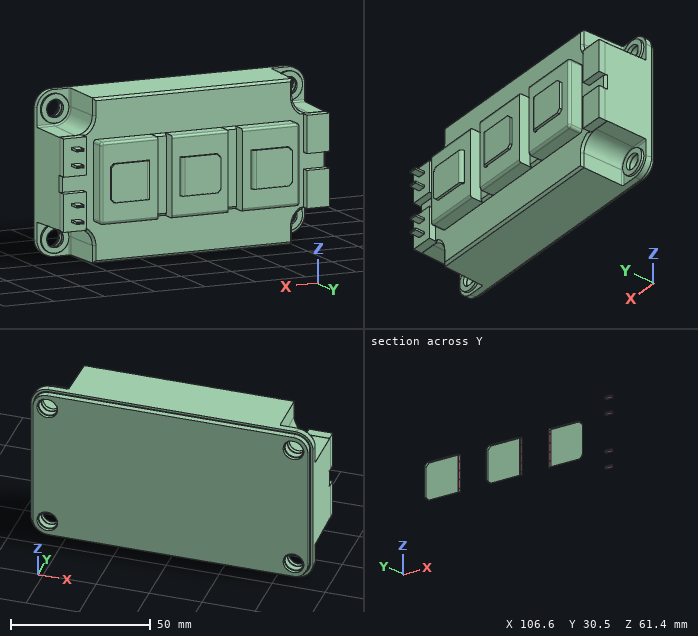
import cadquery as cq
import math

length = 106.6
width = 61.4
height = 30.5

flange_bottom = 1.9
flange_top = 4.5
boss_top = 5.4
housing_top = 23.1
end_block_top = 26.0
terminal_top = 29.0

corner_radius = 6.8
plate_inset = 1.4
groove_width = 0.3
groove_depth = 0.3
hole_x = length / 2 - corner_radius
hole_z = width / 2 - corner_radius
hole_steps = [(7.7, 1.3), (7.0, 3.8), (6.6, boss_top)]
boss_radius = 5.4

draft_angle = 1.0
notch_radius = 6.5
notch_fillet = 0.6
housing_chamfer = 1.0
draft_inset = (housing_top - flange_bottom) * math.tan(math.radians(draft_angle))

end_block_length = 9.1
end_block_width = 34.3
end_block_gap = 6.2
end_block_outer_x = length / 2 - draft_inset

ridge_length = 79.3
ridge_width = 30.3
ridge_fillet = 1.0
ridge_corner_radius = 1.2
plinth_height = 1.0
plinth_slope = 45.0
slot_x = 14.0
slot_width = 5.6

tab_length = 15.7
tab_width = 14.3
tab_thickness = 1.1
tab_chamfer = 1.3
bend_radius = 1.4
tab_free_ends = [(-35.9, 1), (-7.6, 1), (35.9, -1)]

pin_x = 48.2
pin_width = 3.0
pin_thickness = 0.9
pin_tip_chamfer = 0.3
pin_z = [7.2, 13.3]


def level(y):
    """Workplane at height y that extrudes toward +Y; its local y runs along -Z."""
    return cq.Workplane(cq.Plane(origin=(0, y, 0), xDir=(1, 0, 0), normal=(0, 1, 0)))


def block(x_size, z_size, bottom, top, x=0.0, z=0.0):
    return level(bottom).center(x, -z).rect(x_size, z_size).extrude(top - bottom)


def at_holes(y):
    return level(y).rect(2 * hole_x, 2 * hole_z, forConstruction=True).vertices()


def drafted_block():
    """Full block of flange and housing, narrowing upward with the draft."""
    return (
        level(flange_bottom)
        .rect(length, width)
        .extrude(housing_top - flange_bottom, taper=draft_angle)
    )


def rounded_block(inset, bottom, top):
    """Block with rounded corners whose sides lie inside the flange outline by the inset."""
    outline = block(length - 2 * inset, width - 2 * inset, bottom, top)
    return outline.edges("|Y").fillet(corner_radius - inset)


def base():
    plate = rounded_block(plate_inset, 0, flange_bottom + groove_depth)
    flange = rounded_block(0, flange_bottom, flange_top).intersect(drafted_block())
    groove = rounded_block(plate_inset - groove_width, flange_bottom, flange_bottom + groove_depth)
    bosses = at_holes(flange_top).circle(boss_radius).extrude(boss_top - flange_top)
    return flange.cut(groove).union(plate).union(bosses)


def corner_notch():
    """Cutter for one corner: rounded around the mounting hole and widening upward with the draft."""
    inner_x = hole_x - notch_radius
    inner_z = hole_z - notch_radius
    outer_x = hole_x + 2 * corner_radius
    outer_z = hole_z + 2 * corner_radius
    cutter = (
        level(flange_top)
        .moveTo(outer_x, inner_z)
        .lineTo(outer_x, outer_z)
        .lineTo(inner_x, outer_z)
        .lineTo(inner_x, hole_z)
        .radiusArc((hole_x, inner_z), -notch_radius)
        .close()
        .extrude(height, taper=-draft_angle)
    )
    return cutter.faces("<Y").edges().fillet(notch_fillet)


def housing():
    body = drafted_block().intersect(block(length, width, flange_top, housing_top))
    notch = corner_notch()
    for cutter in (notch, notch.mirror("YZ")):
        body = body.cut(cutter).cut(cutter.mirror("XY"))
    return body.faces(">Y").edges().chamfer(housing_chamfer)


def end_block(side):
    """Two halves that fill the housing chamfer below them and stand on its end face."""
    x = side * (end_block_outer_x - end_block_length / 2)
    half_width = (end_block_width - end_block_gap) / 2
    half_z = (end_block_gap + half_width) / 2
    upper = block(end_block_length, half_width, housing_top, end_block_top, x, half_z)
    chamfer_zone = block(
        2 * end_block_length, half_width, housing_top - housing_chamfer, housing_top,
        side * (length / 2 - end_block_length), half_z,
    )
    half = upper.union(chamfer_zone.intersect(drafted_block()))
    return half.union(half.mirror("XY"))


def terminal_blocks():
    """Three blocks parted by slots, joined by a low plinth with sloping sides."""
    ridge = block(ridge_length, ridge_width, housing_top, terminal_top)
    ridge = ridge.edges("|Y").fillet(ridge_corner_radius)
    ridge = ridge.faces(">Y").edges().fillet(ridge_fillet)
    for x in (-slot_x, slot_x):
        ridge = ridge.cut(block(slot_width, width, housing_top, height, x))
    plinth = (
        level(housing_top)
        .rect(4 * slot_x - slot_width, ridge_width)
        .extrude(plinth_height, taper=plinth_slope)
    )
    return ridge.union(plinth)


def tab(free_end_x, direction):
    """Strip above its terminal block, bent down into the block at the end away from free_end_x."""
    bent_end_x = free_end_x + direction * tab_length
    strip = block(
        tab_length, tab_width, height - tab_thickness, height, (free_end_x + bent_end_x) / 2
    )
    free_end = "<X" if direction > 0 else ">X"
    bent_end = ">X" if direction > 0 else "<X"
    strip = strip.edges("|Y").edges(free_end).chamfer(tab_chamfer)
    leg_x = bent_end_x - direction * tab_thickness / 2
    leg = block(tab_thickness, tab_width, terminal_top - tab_thickness, height, leg_x)
    bent = strip.union(leg).clean()
    return bent.edges("|Z").edges(">Y").edges(bent_end).fillet(bend_radius)


def pin(z):
    blade = block(pin_width, pin_thickness, end_block_top, height, pin_x, z)
    return blade.faces(">Y").chamfer(pin_tip_chamfer)


result = base().union(housing()).union(terminal_blocks())

for side in (-1, 1):
    result = result.union(end_block(side))

for free_end_x, direction in tab_free_ends:
    result = result.union(tab(free_end_x, direction))

for z in pin_z:
    result = result.union(pin(z)).union(pin(-z))

for diameter, top in hole_steps:
    result = result.cut(at_holes(0).circle(diameter / 2).extrude(top))